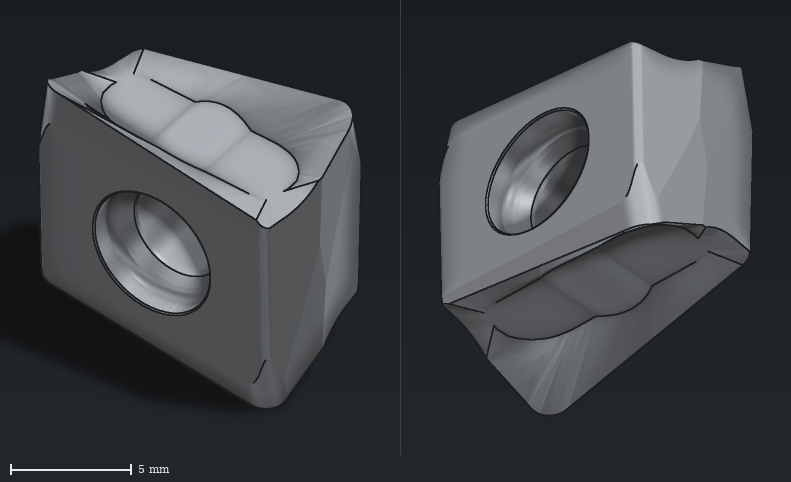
import cadquery as cq
import math


length = 12.5
thickness = 7.0
blank_height = 14.0
reach = 20.0

apex_x = 6.21
apex_z = 4.55
wall_apex = cq.Vector(-apex_x, 0, apex_z)
wall_foot = cq.Vector(-apex_x, 0, -apex_z)
wall_crest = cq.Vector(-length / 2, -0.25, -1.1)
wall_knee = cq.Vector(-6.2, -0.88, 0.68)
wall_shoulder = cq.Vector(-6.056, -2.49, 4.4)
band_high = cq.Vector(-4.85, -thickness / 2, 4.67)
band_low = cq.Vector(5.36, -thickness / 2, 3.555)
band_rim = cq.Vector(-4.85, -3.21, 6.03)
face_points = [cq.Vector(x, -thickness / 2, z) for x, z in ((0, 0), (1, 0), (0, 1))]

clearance_plane = (wall_foot, wall_crest, wall_knee)
middle_plane = (wall_apex, wall_crest, wall_knee)
land_plane = (wall_apex, wall_knee, wall_shoulder)
band_plane = (band_high, band_low, band_rim)

nose_radius = 1.15
low_corner_radius = 0.4
edge_radius = 0.35

floor_z = 3.92
hump_z = 4.2
hump_half_width = 1.5
hump_blend_radius = 0.3
rim_overshoot = 1.15
recess_top = 9.0

hole_mouth = (3.0, 0.0)
hole_edge = (2.93, 0.07)
hole_wall_end = (2.93, 0.88)
hole_round_mid = (2.85, 1.1)
hole_round_end = (2.68, 1.29)
seat_start = (2.54, 1.48)
seat_end = (2.25, 1.93)
bore_start = (2.2, 2.12)


def half_turn(shape, axis):
    """Turn a shape half a revolution about one of the main axes."""
    return shape.rotate(cq.Vector(), axis, 180)


def half_turn_copies(shape):
    """The shape and its half turns about X, Y and Z."""
    axes = (cq.Vector(1, 0, 0), cq.Vector(0, 1, 0), cq.Vector(0, 0, 1))
    return [shape] + [half_turn(shape, axis) for axis in axes]


def outward_normal(points):
    """Unit normal of the plane through three points, pointing away from the part centre."""
    normal = (points[1] - points[0]).cross(points[2] - points[0]).normalized()
    return normal if normal.dot(points[0]) > 0 else normal * -1


def outside_of(points):
    """Block filling the space outside a wall plane."""
    plane = cq.Plane(origin=points[0], normal=outward_normal(points))
    return cq.Workplane(plane).rect(2 * reach, 2 * reach).extrude(reach).val()


def corner_trim(first, second, radius):
    """Material outside the round that joins two wall planes."""
    n1 = outward_normal(first)
    n2 = outward_normal(second)
    axis = n1.cross(n2)
    d1 = n1.dot(first[0])
    d2 = n2.dot(second[0])

    def line_point(offset1, offset2):
        """Point of the line where both planes, moved to these offsets, meet."""
        across = n2.cross(axis) * offset1 + axis.cross(n1) * offset2
        return across * (1 / axis.dot(axis))

    centre = line_point(d1 - radius, d2 - radius)
    plane = cq.Plane(origin=centre, xDir=n1, normal=axis)
    angle = math.acos(n1.dot(n2))
    outside = 2 * radius

    def flat(along, turn):
        """Profile point at a distance from the round centre, turned from the first wall normal."""
        return (along * math.cos(turn), along * math.sin(turn))

    tangent1 = flat(radius, 0)
    middle = flat(radius, angle / 2)
    tangent2 = flat(radius, angle)
    outer1 = flat(outside, 0)
    outer2 = flat(outside, angle)
    corner = flat(outside / math.cos(angle / 2), angle / 2)
    profile = cq.Workplane(plane).moveTo(*outer1).lineTo(*tangent1)
    profile = profile.threePointArc(middle, tangent2).lineTo(*outer2).lineTo(*corner).close()
    return profile.extrude(reach, both=True).val()


def make_body():
    """Block bounded by the tilted wall planes, with rounded corners."""
    body = cq.Workplane().box(2 * length, thickness, blank_height).val()
    for points in (clearance_plane, middle_plane, land_plane, band_plane):
        body = body.cut(*half_turn_copies(outside_of(points)))
    turned_band = tuple(cq.Vector(-p.x, p.y, -p.z) for p in band_plane)
    trims = (
        corner_trim(land_plane, band_plane, nose_radius),
        corner_trim(clearance_plane, turned_band, low_corner_radius),
        corner_trim(clearance_plane, face_points, edge_radius),
    )
    for trim in trims:
        for copy in half_turn_copies(trim):
            body = body.cut(copy)
    return body


def past_rim(rim_point, floor_point):
    """Point where a recess wall ends, a little beyond the rim so that it leaves the body cleanly."""
    rim = cq.Vector(*rim_point)
    return floor_point + (rim - floor_point) * rim_overshoot


def recess_stretches():
    """Matching outer and floor curves of half the recess, from the left apex to the right one.

    The first group follows the rim. The second is the small folded wall just inside the right apex.
    One point makes a fan, two make a line and three an arc.
    """
    def on_floor(x, y):
        """Point on the flat recess floor."""
        return cq.Vector(x, y, floor_z)

    left_apex_floor = on_floor(-4.8, -0.31)
    side_middle_floor = on_floor(-4.1, -1.03)
    nose_start_floor = on_floor(-3.22, -1.38)
    nose_early_floor = on_floor(-3.02, -1.43)
    nose_middle_floor = on_floor(-2.82, -1.46)
    nose_late_floor = on_floor(-2.3, -1.5)
    nose_end_floor = on_floor(-1.77, -1.53)
    edge_start_floor = on_floor(-1.52, -1.55)
    edge_middle_floor = on_floor(1.56, -1.8)
    edge_late_floor = on_floor(3.86, -1.97)
    edge_last_floor = on_floor(4.42, -1.98)
    edge_end_floor = on_floor(4.7, -1.87)
    corner_middle_floor = on_floor(4.76, -1.82)
    corner_end_floor = on_floor(4.8, -1.75)
    dip_start_floor = on_floor(4.87, -1.55)
    dip_middle_floor = on_floor(4.92, -1.28)
    crease_floor = on_floor(4.97, -0.99)
    fold_start_floor = on_floor(5.03, -0.7)
    fold_end_floor = on_floor(5.0, -0.1)
    right_apex_floor = on_floor(-left_apex_floor.x, -left_apex_floor.y)

    nose_end_rim = cq.Vector(-4.85, -3.21, 6.01)
    edge_end_rim = cq.Vector(5.25, -3.41, 4.06)

    def past_long_edge(x, floor_point):
        """Outer point for a place on the straight rim between the nose and the low corner."""
        ratio = (x - nose_end_rim.x) / (edge_end_rim.x - nose_end_rim.x)
        rim = nose_end_rim + (edge_end_rim - nose_end_rim) * ratio
        return past_rim(rim.toTuple(), floor_point)

    left_apex = past_rim((-apex_x, 0, apex_z), left_apex_floor)
    side_middle = past_rim((-6.15, -1.075, 5.1), side_middle_floor)
    nose_start = past_rim((-6.08, -2.15, 5.65), nose_start_floor)
    nose_early = past_rim((-5.96, -2.4, 5.8), nose_early_floor)
    nose_middle = past_rim((-5.8, -2.64, 5.91), nose_middle_floor)
    nose_late = past_rim((-5.41, -3.03, 6.0), nose_late_floor)
    nose_end = past_long_edge(nose_end_rim.x, nose_end_floor)
    edge_start = past_long_edge(-4.7, edge_start_floor)
    edge_middle = past_long_edge(0, edge_middle_floor)
    edge_late = past_long_edge(3.55, edge_late_floor)
    edge_last = past_long_edge(4.6, edge_last_floor)
    edge_end = past_long_edge(edge_end_rim.x, edge_end_floor)
    corner_middle = past_rim((5.6, -3.32, 3.82), corner_middle_floor)
    corner_end = past_rim((5.78, -3.1, 3.73), corner_end_floor)
    dip_start = past_rim((5.88, -2.42, 3.76), dip_start_floor)
    dip_middle = past_rim((6.06, -1.1, 3.99), dip_middle_floor)
    right_apex = past_rim((apex_x, 0, apex_z), right_apex_floor)
    fold = cq.Vector(5.67, -0.28, 4.28)

    rim_stretches = (
        ((left_apex, side_middle, nose_start), (left_apex_floor, side_middle_floor, nose_start_floor)),
        ((nose_start, nose_early, nose_middle), (nose_start_floor, nose_early_floor, nose_middle_floor)),
        ((nose_middle, nose_late, nose_end), (nose_middle_floor, nose_late_floor, nose_end_floor)),
        ((nose_end, edge_start), (nose_end_floor, edge_start_floor)),
        ((edge_start, edge_middle), (edge_start_floor, edge_middle_floor)),
        ((edge_middle, edge_late), (edge_middle_floor, edge_late_floor)),
        ((edge_late, edge_last), (edge_late_floor, edge_last_floor)),
        ((edge_last, edge_end), (edge_last_floor, edge_end_floor)),
        ((edge_end, corner_middle, corner_end), (edge_end_floor, corner_middle_floor, corner_end_floor)),
        ((corner_end, dip_start), (corner_end_floor, dip_start_floor)),
        ((dip_start, dip_middle, right_apex), (dip_start_floor, dip_middle_floor, crease_floor)),
    )
    fold_stretches = (
        ((right_apex, fold), (crease_floor, fold_start_floor)),
        ((fold,), (fold_start_floor, fold_end_floor)),
        ((fold, right_apex), (fold_end_floor, right_apex_floor)),
    )
    return rim_stretches, fold_stretches


def curve_through(points):
    """Line through two points or arc through three."""
    if len(points) == 2:
        return cq.Edge.makeLine(*points)
    return cq.Edge.makeThreePointArc(*points)


def wall_between(outer_points, floor_points):
    """Ruled wall between two matching curves, or a flat triangle up to a single point."""
    if len(outer_points) == 1:
        return cq.Face.makeFromWires(cq.Wire.makePolygon([*floor_points, *outer_points], close=True))
    return cq.Face.makeRuledSurface(curve_through(floor_points), curve_through(outer_points))


def make_hump():
    """Low cylindrical rib across the recess floor, blended into the floor at both sides."""
    rise = hump_z - floor_z
    radius = (hump_half_width ** 2 + rise ** 2) / (2 * rise)
    centre_z = hump_z - radius
    blend_z = floor_z + hump_blend_radius
    spread = radius + hump_blend_radius
    blend_x = math.sqrt(spread ** 2 - (blend_z - centre_z) ** 2)
    touch_x = blend_x * radius / spread
    touch_z = centre_z + (blend_z - centre_z) * radius / spread
    lean = math.atan2(blend_x, blend_z - centre_z) / 2
    mid_x = blend_x - hump_blend_radius * math.sin(lean)
    mid_z = blend_z - hump_blend_radius * math.cos(lean)
    root_z = floor_z - rise
    profile = (
        cq.Workplane("XZ")
        .moveTo(-blend_x, floor_z)
        .threePointArc((-mid_x, mid_z), (-touch_x, touch_z))
        .threePointArc((0, hump_z), (touch_x, touch_z))
        .threePointArc((mid_x, mid_z), (blend_x, floor_z))
        .lineTo(blend_x, root_z)
        .lineTo(-blend_x, root_z)
        .close()
    )
    return profile.extrude(thickness, both=True).val()


def make_recess():
    """Cutter for the upper end: ruled walls from the rim down to a flat floor with a hump."""
    walls = []
    floor_edges = []
    top_edges = []
    rim_stretches, fold_stretches = recess_stretches()
    for outer_points, floor_points in rim_stretches + fold_stretches:
        walls.append(wall_between(outer_points, floor_points))
        floor_edges.append(curve_through(floor_points))
    for outer_points, _ in rim_stretches:
        outer_edge = curve_through(outer_points)
        top_edge = curve_through([cq.Vector(p.x, p.y, recess_top) for p in outer_points])
        walls.append(cq.Face.makeRuledSurface(outer_edge, top_edge))
        top_edges.append(top_edge)
    z_axis = cq.Vector(0, 0, 1)
    walls += [half_turn(wall, z_axis) for wall in walls]
    floor_edges += [half_turn(edge, z_axis) for edge in floor_edges]
    top_edges += [half_turn(edge, z_axis) for edge in top_edges]
    floor = cq.Face.makeFromWires(cq.Wire.assembleEdges(floor_edges))
    top = cq.Face.makeFromWires(cq.Wire.assembleEdges(top_edges))
    cutter = cq.Solid.makeSolid(cq.Shell.makeShell(walls + [floor, top]))
    return cutter.fix().cut(make_hump())


def make_hole():
    """Screw hole along Y, countersunk alike from both faces."""
    def place(point, side):
        """Profile point on one side of the mid plane, from its radius and depth."""
        radius, depth = point
        return (radius, side * (thickness / 2 - depth))

    profile = (
        cq.Workplane("XY")
        .moveTo(0, -thickness / 2)
        .lineTo(*place(hole_mouth, -1))
        .lineTo(*place(hole_edge, -1))
        .lineTo(*place(hole_wall_end, -1))
        .threePointArc(place(hole_round_mid, -1), place(hole_round_end, -1))
        .lineTo(*place(seat_start, -1))
        .lineTo(*place(seat_end, -1))
        .lineTo(*place(bore_start, -1))
        .lineTo(*place(bore_start, 1))
        .lineTo(*place(seat_end, 1))
        .lineTo(*place(seat_start, 1))
        .lineTo(*place(hole_round_end, 1))
        .threePointArc(place(hole_round_mid, 1), place(hole_wall_end, 1))
        .lineTo(*place(hole_edge, 1))
        .lineTo(*place(hole_mouth, 1))
        .lineTo(0, thickness / 2)
        .close()
    )
    return profile.revolve(360, (0, 0, 0), (0, 1, 0)).val()


recess = make_recess()
insert = make_body().cut(recess).cut(half_turn(recess, cq.Vector(1, 0, 0))).cut(make_hole())
result = cq.Workplane(insert)